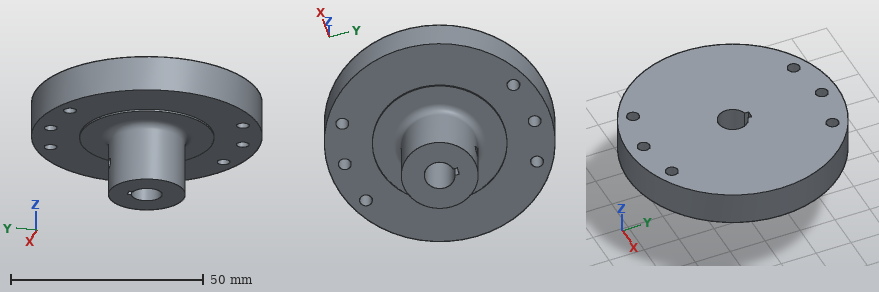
import cadquery as cq

disc_diameter = 60.0
total_height = 26.0
disc_thickness = 9.5

pad_diameter = 35.0
pad_thickness = 0.5

hub_diameter = 20.0
hub_fillet = 2.0

bore_diameter = 8.0
keyway_width = 2.0
keyway_depth_from_axis = 5.0

mount_hole_diameter = 3.3
middle_hole_y = 25.5
side_hole_x = 12.0
side_hole_y = 23.0

screw_hole_diameter = 2.5
screw_hole_height = 8.0

disc_bottom = total_height - disc_thickness
pad_bottom = disc_bottom - pad_thickness


def turned_body():
    """Disc, pad and hub as one revolved half-section, with a fillet at the hub root."""
    hub_radius = hub_diameter / 2
    return (
        cq.Workplane("XZ")
        .lineTo(hub_radius, 0)
        .lineTo(hub_radius, pad_bottom - hub_fillet)
        .radiusArc((hub_radius + hub_fillet, pad_bottom), hub_fillet)
        .lineTo(pad_diameter / 2, pad_bottom)
        .lineTo(pad_diameter / 2, disc_bottom)
        .lineTo(disc_diameter / 2, disc_bottom)
        .lineTo(disc_diameter / 2, total_height)
        .lineTo(0, total_height)
        .close()
        .revolve(360, (0, 0, 0), (0, 1, 0))
    )


def keyed_bore():
    """Full-height bore with a keyway on the +Y side."""
    bore = cq.Workplane("XY").circle(bore_diameter / 2).extrude(total_height)
    keyway = cq.Workplane("XY").box(
        keyway_width, keyway_depth_from_axis, total_height, centered=(True, False, False)
    )
    return bore.union(keyway)


def mounting_holes():
    """Two groups of three through holes, one at each end of the Y axis."""
    centers = []
    for side in (-1, 1):
        centers.append((0, side * middle_hole_y))
        centers.append((-side_hole_x, side * side_hole_y))
        centers.append((side_hole_x, side * side_hole_y))
    return (
        cq.Workplane("XY")
        .pushPoints(centers)
        .circle(mount_hole_diameter / 2)
        .extrude(total_height)
    )


def screw_hole():
    """Radial hole from the bore axis out through the +Y side of the hub."""
    return (
        cq.Workplane("XZ")
        .center(0, screw_hole_height)
        .circle(screw_hole_diameter / 2)
        .extrude(-hub_diameter)
    )


result = turned_body().cut(keyed_bore()).cut(mounting_holes()).cut(screw_hole())